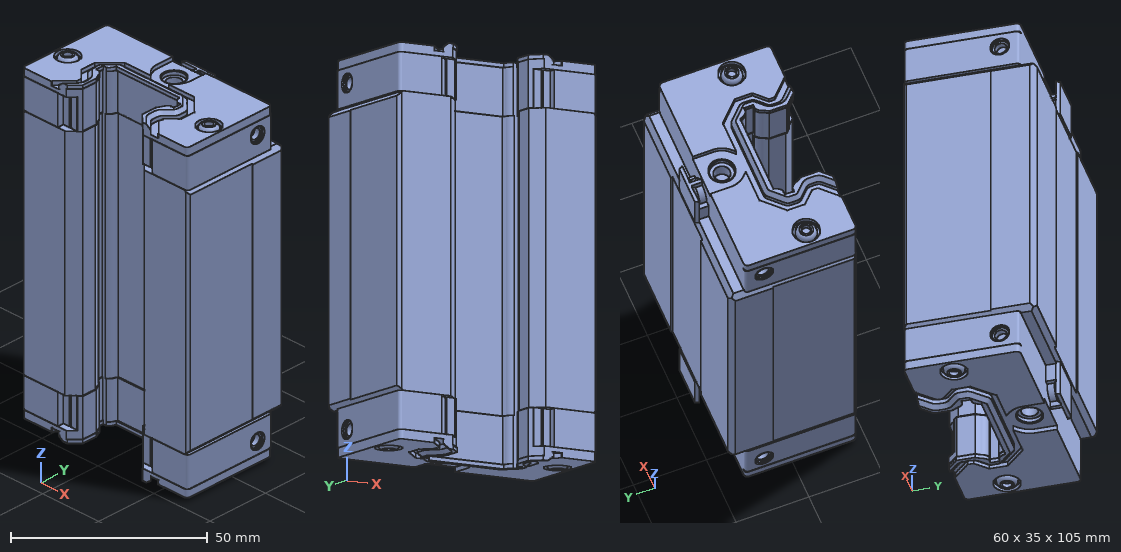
import cadquery as cq
import math


BODY_END = 38.7
CAP_END = 48.8
PLATE_END = 51.3
LENGTH = 105.0
SEAL_TIP = LENGTH / 2
GROOVE_FLOOR = 50.1

BODY_WIDTH = 60.0
BODY_HEIGHT = 35.0
TOP_CHAMFER = 1.5
BOTTOM_CHAMFER = 1.0
END_CHAMFER = 1.5
SIDE_RELIEF = 0.2
SIDE_RELIEF_HEIGHT = 23.1
TOP_CHANNEL_WIDTH = 20.2
TOP_CHANNEL_DEPTH = 0.4

CAP_WIDTH = 59.0
CAP_HEIGHT = 30.7
CAP_CORNER = 0.8
PLATE_CORNER = 1.2
JOINT_STEP = 0.1

LEG_GAP = 10.6
LEG_BEVEL = 2.8
LEG_TOP = 7.8
TRACK_CENTRE = 12.2
BODY_CLEARANCE = 0.37
CAP_CLEARANCE = 0.1
CAP_ROOF = 16.0
SEAL_ROOF = 15.5
SEAL_CORNER = 2.1

POCKET_INNER = 11.8
POCKET_OUTER = 16.8
POCKET_DEPTH = 2.1
SLIT_CENTRE = 14.4
SLIT_WIDTH = 0.5
SLIT_DEPTH = 2.7

TAB_RADIUS = 6.0
PORT_Y = 25.1
PORT_RIM = 7.0
PORT_BORE = 6.5
PORT_BORE_DEPTH = 1.4
PORT_HOLE = 4.4
PORT_DEPTH = 5.2

SCREW_X = 25.2
SCREW_Y = 12.2
SCREW_RECESS = 7.0
SCREW_HEAD = 5.7
SCREW_RIM_HEIGHT = 0.3
SCREW_TOP = 51.8
SCREW_CROWN = 3.6
DOME_BULGE = 0.2
SOCKET = 2.5
SOCKET_DEPTH = 1.3

SIDE_PORT_Y = 25.4
SIDE_PORT_Z = 44.8
SIDE_PORT_RIM = 5.0
SIDE_PORT_BORE = 4.4
SIDE_PORT_BORE_DEPTH = 0.8
SIDE_PORT_HOLE = 3.2
SIDE_PORT_DEPTH = 2.6

FLANGE_WIDTH = 11.5
FLANGE_SLOPE = 0.5
FLANGE_TOP = 34.6
FLANGE_BOTTOM = 33.6
PLUG_BLOCK_WIDTH = 9.7
PLUG_CENTRE = (BODY_END + CAP_END) / 2
NECK = 7.0
NECK_FLARE = 9.0
FLARE_HEIGHT = 1.0
WEB = 1.0

MARGIN = 5.2


def mirrored(points):
    """Close a right-hand half outline with its mirror image about X = 0."""
    return points + [(-x, y) for x, y in reversed(points)]


def prism(points, z_start, z_end):
    return cq.Workplane("XY").workplane(offset=z_start).polyline(points).close().extrude(z_end - z_start)


def box(x_min, x_max, y_min, y_max, z_min, z_max):
    size = (x_max - x_min, y_max - y_min, z_max - z_min)
    return cq.Workplane("XY").box(*size, centered=False).translate((x_min, y_min, z_min))


def rail_opening(clearance, roof, z_start, z_end):
    """Opening around the rail, with rounded ball-track shoulders on each side of a straight pocket."""
    gap = LEG_GAP + clearance
    bevel = LEG_BEVEL + clearance
    track_x = 11.3 + clearance
    shoulder_x = 12.0 + clearance
    neck_x = 12.7 + clearance
    pocket_x = 13.9 + clearance
    pocket_rise = 1.3
    shoulder_rise = 1.9
    track_rise = 3.2
    low, high = TRACK_CENTRE - pocket_rise, TRACK_CENTRE + pocket_rise
    low_mid, high_mid = TRACK_CENTRE - shoulder_rise, TRACK_CENTRE + shoulder_rise
    low_end, high_end = TRACK_CENTRE - track_rise, TRACK_CENTRE + track_rise
    roof_x = track_x - (roof - high_end) / 2
    foot_x = gap + bevel + MARGIN
    outline = (
        cq.Workplane("XY").workplane(offset=z_start)
        .moveTo(-foot_x, -MARGIN)
        .lineTo(foot_x, -MARGIN)
        .lineTo(gap, bevel)
        .lineTo(gap, LEG_TOP)
        .lineTo(track_x, low_end)
        .threePointArc((shoulder_x, low_mid), (neck_x, low))
        .lineTo(pocket_x, low)
        .lineTo(pocket_x, high)
        .lineTo(neck_x, high)
        .threePointArc((shoulder_x, high_mid), (track_x, high_end))
        .lineTo(roof_x, roof)
        .lineTo(-roof_x, roof)
        .lineTo(-track_x, high_end)
        .threePointArc((-shoulder_x, high_mid), (-neck_x, high))
        .lineTo(-pocket_x, high)
        .lineTo(-pocket_x, low)
        .lineTo(-neck_x, low)
        .threePointArc((-shoulder_x, low_mid), (-track_x, low_end))
        .lineTo(-gap, LEG_TOP)
        .lineTo(-gap, bevel)
        .close()
    )
    return outline.extrude(z_end - z_start)


def make_body():
    half = BODY_WIDTH / 2
    section = mirrored([
        (half - BOTTOM_CHAMFER, 0),
        (half, BOTTOM_CHAMFER),
        (half, BODY_HEIGHT - TOP_CHAMFER),
        (half - TOP_CHAMFER, BODY_HEIGHT),
    ])
    body = prism(section, -BODY_END, BODY_END)

    plan = [(half - END_CHAMFER, BODY_END), (half, BODY_END - END_CHAMFER)]
    plan += [(x, -z) for x, z in reversed(plan)]
    plan_block = cq.Workplane("XZ").polyline(mirrored(plan)).close().extrude(-BODY_HEIGHT)
    profile = [
        (0, -BODY_END),
        (BODY_HEIGHT - END_CHAMFER, -BODY_END),
        (BODY_HEIGHT, END_CHAMFER - BODY_END),
        (BODY_HEIGHT, BODY_END - END_CHAMFER),
        (BODY_HEIGHT - END_CHAMFER, BODY_END),
        (0, BODY_END),
    ]
    profile_block = cq.Workplane("YZ").polyline(profile).close().extrude(half, both=True)
    body = body.intersect(plan_block).intersect(profile_block)

    for start in (-half, half - SIDE_RELIEF):
        body = body.cut(box(start, start + SIDE_RELIEF, 0, SIDE_RELIEF_HEIGHT, -BODY_END, BODY_END))
    channel_half = TOP_CHANNEL_WIDTH / 2
    channel_floor = BODY_HEIGHT - TOP_CHANNEL_DEPTH
    body = body.cut(box(-channel_half, channel_half, channel_floor, BODY_HEIGHT, -BODY_END, BODY_END))
    opening = rail_opening(BODY_CLEARANCE, CAP_ROOF + BODY_CLEARANCE, -BODY_END, BODY_END)
    return body.cut(opening)


def rounded_block(width, y_start, corner, z_start, z_end):
    half = width / 2
    return box(-half, half, y_start, CAP_HEIGHT, z_start, z_end).edges("|Z").fillet(corner)


def cut_leg_pockets(cap):
    slit_half = SLIT_WIDTH / 2
    for side in (-1, 1):
        inner, outer = sorted((side * POCKET_INNER, side * POCKET_OUTER))
        slit = side * SLIT_CENTRE
        cap = cap.cut(box(inner, outer, 0, POCKET_DEPTH, BODY_END, CAP_END))
        cap = cap.cut(box(slit - slit_half, slit + slit_half, 0, SLIT_DEPTH, BODY_END, CAP_END))
    return cap


def port_tool(rim, bore, bore_depth, hole, depth):
    """Cutter sunk along -Z from the origin: bevelled rim, bore and a narrower hole."""
    profile = [
        (0, 0),
        (rim / 2, 0),
        (bore / 2, (bore - rim) / 2),
        (bore / 2, -bore_depth),
        (hole / 2, -bore_depth),
        (hole / 2, -depth),
        (0, -depth),
    ]
    return cq.Workplane("XZ").polyline(profile).close().revolve(360, (0, 0), (0, 1))


def cut_side_ports(cap):
    tool = port_tool(SIDE_PORT_RIM, SIDE_PORT_BORE, SIDE_PORT_BORE_DEPTH, SIDE_PORT_HOLE, SIDE_PORT_DEPTH)
    for side in (-1, 1):
        port = tool.rotate((0, 0, 0), (0, 1, 0), side * 90)
        cap = cap.cut(port.translate((side * CAP_WIDTH / 2, SIDE_PORT_Y, SIDE_PORT_Z)))
    return cap


def make_plug():
    """Flanged plug standing on the upper face of a cap."""
    half = FLANGE_WIDTH / 2
    seat = CAP_HEIGHT - CAP_CORNER
    block_half = PLUG_BLOCK_WIDTH / 2
    flange = prism(mirrored([(half, FLANGE_BOTTOM), (half - FLANGE_SLOPE, FLANGE_TOP)]), BODY_END, CAP_END)
    block = box(-block_half, block_half, seat, FLANGE_BOTTOM, BODY_END, PLUG_CENTRE)
    web = box(-WEB / 2, WEB / 2, seat, FLANGE_BOTTOM, PLUG_CENTRE, CAP_END)
    button_profile = [
        (0, seat),
        (NECK / 2, seat),
        (NECK / 2, FLANGE_BOTTOM - FLARE_HEIGHT),
        (NECK_FLARE / 2, FLANGE_BOTTOM),
        (0, FLANGE_BOTTOM),
    ]
    button = cq.Workplane("XY").polyline(button_profile).close().revolve(360, (0, 0), (0, 1))
    return flange.union(block).union(web).union(button.translate((0, 0, PLUG_CENTRE)))


def seal_groove():
    """Recess in the plate face: a band around the seal joined to the lubrication tab."""
    band = mirrored([
        (19.0, -MARGIN), (19.0, 0.3), (14.6, 4.7), (14.6, 6.3),
        (17.8, 9.6), (17.8, 14.4), (12.4, 19.8),
    ])
    tangent = TAB_RADIUS * math.sqrt(0.5)
    arc_middle = (TAB_RADIUS * math.cos(math.pi / 8), PORT_Y - TAB_RADIUS * math.sin(math.pi / 8))
    foot_y = 18.9
    foot_x = tangent - (PORT_Y - tangent - foot_y)
    tab = (
        cq.Workplane("XY").workplane(offset=GROOVE_FLOOR)
        .moveTo(-foot_x, foot_y)
        .lineTo(foot_x, foot_y)
        .lineTo(tangent, PORT_Y - tangent)
        .threePointArc(arc_middle, (TAB_RADIUS, PORT_Y))
        .lineTo(TAB_RADIUS, CAP_HEIGHT)
        .lineTo(-TAB_RADIUS, CAP_HEIGHT)
        .lineTo(-TAB_RADIUS, PORT_Y)
        .threePointArc((-arc_middle[0], arc_middle[1]), (-tangent, PORT_Y - tangent))
        .close()
        .extrude(PLATE_END - GROOVE_FLOOR)
    )
    return prism(band, GROOVE_FLOOR, PLATE_END).union(tab)


def make_seal():
    """Raised lip around the rail opening, bevelled along its outer edge."""
    foot_x = 16.5 + MARGIN
    outline = mirrored([
        (foot_x, -MARGIN), (12.8, 3.7), (12.8, 6.8), (16.1, 10.1), (16.1, 13.5), (11.5, 18.1),
    ])
    base = prism(outline, GROOVE_FLOOR, PLATE_END).edges("|Z").fillet(SEAL_CORNER)
    rim = base.faces(">Z").wires().toPending().workplane()
    lip = rim.extrude(SEAL_TIP - PLATE_END, taper=45, combine=False)
    below_rail_face = box(-BODY_WIDTH, BODY_WIDTH, -2 * MARGIN, 0, GROOVE_FLOOR, SEAL_TIP)
    seal = base.union(lip).cut(below_rail_face)
    seal = seal.cut(rail_opening(CAP_CLEARANCE, CAP_ROOF, GROOVE_FLOOR, PLATE_END))
    return seal.cut(rail_opening(0, SEAL_ROOF, PLATE_END, SEAL_TIP))


def make_screw():
    """Domed screw head standing on the groove floor level, with a round socket."""
    rim_z = GROOVE_FLOOR + SCREW_RIM_HEIGHT
    dome_middle = ((SCREW_HEAD + SCREW_CROWN) / 4 + DOME_BULGE, (rim_z + SCREW_TOP) / 2 + DOME_BULGE)
    return (
        cq.Workplane("XZ")
        .moveTo(0, GROOVE_FLOOR)
        .lineTo(SCREW_HEAD / 2, GROOVE_FLOOR)
        .lineTo(SCREW_HEAD / 2, rim_z)
        .threePointArc(dome_middle, (SCREW_CROWN / 2, SCREW_TOP))
        .lineTo(SOCKET / 2, SCREW_TOP)
        .lineTo(SOCKET / 2, SCREW_TOP - SOCKET_DEPTH)
        .lineTo(0, SCREW_TOP - SOCKET_DEPTH)
        .close()
        .revolve(360, (0, 0), (0, 1))
    )


def make_end():
    """Cap, scraper plate, seal, plug and screws at the +Z end."""
    cap = rounded_block(CAP_WIDTH, JOINT_STEP, CAP_CORNER, BODY_END, CAP_END)
    plate_width = CAP_WIDTH - 2 * JOINT_STEP
    plate = rounded_block(plate_width, 0, PLATE_CORNER, CAP_END, PLATE_END).cut(seal_groove())
    cap = cut_side_ports(cut_leg_pockets(cap)).union(make_plug())
    port = port_tool(PORT_RIM, PORT_BORE, PORT_BORE_DEPTH, PORT_HOLE, PORT_DEPTH)
    end = cap.union(plate).cut(port.translate((0, PORT_Y, GROOVE_FLOOR)))
    end = end.cut(rail_opening(CAP_CLEARANCE, CAP_ROOF, BODY_END, PLATE_END)).union(make_seal())

    recess_depth = PLATE_END - GROOVE_FLOOR
    screw = make_screw()
    for x in (-SCREW_X, SCREW_X):
        recess = cq.Workplane("XY").circle(SCREW_RECESS / 2).extrude(recess_depth)
        end = end.cut(recess.translate((x, SCREW_Y, GROOVE_FLOOR)))
        end = end.union(screw.translate((x, SCREW_Y, 0)))
    return end


upper_end = make_end()
lower_end = upper_end.mirror("XY")
result = make_body().union(upper_end).union(lower_end)